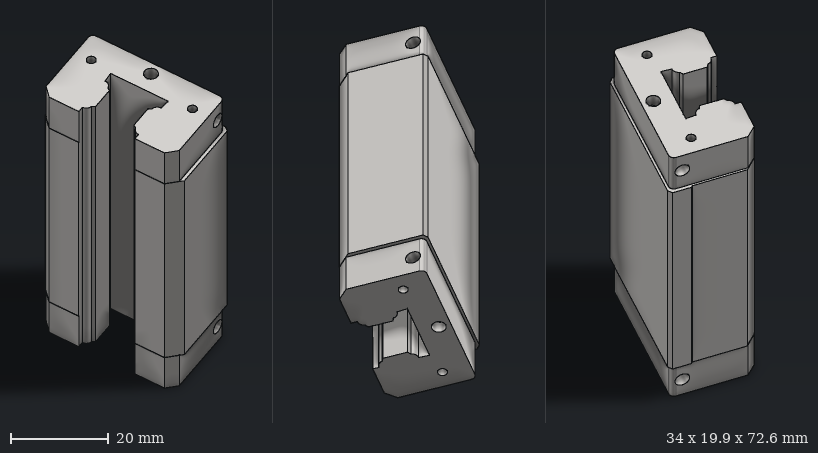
import cadquery as cq
import math


TOTAL_LENGTH = 72.6
CAP_LENGTH = 9.5
BODY_LENGTH = TOTAL_LENGTH - 2 * CAP_LENGTH

BODY_WIDTH = 34.0
BODY_HEIGHT = 19.9
BODY_FOOT_WIDTH = 28.1
BODY_TOP_CHAMFER_X = 0.9
BODY_TOP_CHAMFER_Y = 0.75
BODY_LOWER_CHAMFER = (BODY_WIDTH - BODY_FOOT_WIDTH) / 2
RELIEF_DEPTH = 0.33
RELIEF_TOP = 15.0
RELIEF_BOTTOM = RELIEF_TOP - RELIEF_DEPTH

CAP_WIDTH = 32.4
CAP_TOP = 19.3
CAP_BOTTOM = 0.05
CAP_HEIGHT = CAP_TOP - CAP_BOTTOM
CAP_LOWER_CHAMFER = 2.2
CAP_CORNER_RADIUS = 1.2

SLOT_HALF_WIDTH = 6.8
SLOT_ROOF_HALF_WIDTH = 6.97
SLOT_ROOF = 12.3
LIP_HALF_GAP = 4.65
LIP_SHOULDER_HALF_GAP = 5.37
LIP_CENTRE_HEIGHT = 5.7
LIP_FLAT_HALF_HEIGHT = 2.65
LIP_SHOULDER_HALF_HEIGHT = 3.1
LIP_HALF_HEIGHT = 4.28
LIP_ROUND_RADIUS = 1.46

FEED_DIAMETER = 3.2
FEED_HEIGHT = 16.7
FEED_FROM_END = 4.5
END_FEED_DIAMETER = 3.0
SCREW_DIAMETER = 2.0
SCREW_HALF_SPACING = 12.3
SCREW_HEIGHT = 13.25
SCREW_DEPTH = 4.0
DRILL_POINT_ANGLE = 118.0

CUT_MARGIN = 1.0


def prism(sketch, length):
    """Extrude a closed outline along the rail, starting at Z = 0."""
    return sketch.close().extrude(length)


def rail_slot(length):
    """Solid with the shape of the rail slot, to be cut from a body or cap."""
    centre = LIP_CENTRE_HEIGHT
    right = (
        cq.Workplane("XY")
        .moveTo(0, -CUT_MARGIN)
        .lineTo(SLOT_HALF_WIDTH, -CUT_MARGIN)
        .lineTo(SLOT_HALF_WIDTH, centre - LIP_HALF_HEIGHT)
        .radiusArc((LIP_SHOULDER_HALF_GAP, centre - LIP_SHOULDER_HALF_HEIGHT), LIP_ROUND_RADIUS)
        .lineTo(LIP_HALF_GAP, centre - LIP_FLAT_HALF_HEIGHT)
        .lineTo(LIP_HALF_GAP, centre + LIP_FLAT_HALF_HEIGHT)
        .lineTo(LIP_SHOULDER_HALF_GAP, centre + LIP_SHOULDER_HALF_HEIGHT)
        .radiusArc((SLOT_HALF_WIDTH, centre + LIP_HALF_HEIGHT), LIP_ROUND_RADIUS)
        .lineTo(SLOT_ROOF_HALF_WIDTH, SLOT_ROOF)
        .lineTo(0, SLOT_ROOF)
    )
    right = prism(right, length)
    return right.union(right.mirror("YZ"))


def steel_body():
    """Body prism, with the sloped step of the relief on its -X side."""
    half = BODY_WIDTH / 2
    foot = BODY_FOOT_WIDTH / 2
    relief_x = half - RELIEF_DEPTH
    shoulder = BODY_HEIGHT - BODY_TOP_CHAMFER_Y
    outline = (
        cq.Workplane("XY")
        .moveTo(-foot, 0)
        .lineTo(foot, 0)
        .lineTo(half, BODY_LOWER_CHAMFER)
        .lineTo(half, shoulder)
        .lineTo(half - BODY_TOP_CHAMFER_X, BODY_HEIGHT)
        .lineTo(BODY_TOP_CHAMFER_X - half, BODY_HEIGHT)
        .lineTo(-half, shoulder)
        .lineTo(-half, RELIEF_TOP)
        .lineTo(-relief_x, RELIEF_BOTTOM)
        .lineTo(-relief_x, BODY_LOWER_CHAMFER - RELIEF_DEPTH)
    )
    body = prism(outline, BODY_LENGTH).cut(rail_slot(BODY_LENGTH))
    return body.translate((0, 0, -BODY_LENGTH / 2))


def screw_hole(x):
    """Blind hole with a drill point, drilled from the outer cap face."""
    radius = SCREW_DIAMETER / 2
    point = radius / math.tan(math.radians(DRILL_POINT_ANGLE / 2))
    profile = (
        cq.Workplane("XZ")
        .moveTo(0, CAP_LENGTH)
        .lineTo(radius, CAP_LENGTH)
        .lineTo(radius, CAP_LENGTH - SCREW_DEPTH)
        .lineTo(0, CAP_LENGTH - SCREW_DEPTH - point)
        .close()
    )
    return profile.revolve(360, (0, 0), (0, 1)).translate((x, SCREW_HEIGHT, 0))


def end_cap():
    """Cap with its inner face at Z = 0 and its outer face towards +Z."""
    feed_z = CAP_LENGTH - FEED_FROM_END
    cap = (
        cq.Workplane("XY")
        .rect(CAP_WIDTH, CAP_HEIGHT)
        .extrude(CAP_LENGTH)
        .translate((0, CAP_BOTTOM + CAP_HEIGHT / 2, 0))
    )
    cap = cap.edges("|Z and >Y").fillet(CAP_CORNER_RADIUS)
    cap = cap.edges("|Z and <Y").chamfer(CAP_LOWER_CHAMFER)
    cap = cap.cut(rail_slot(CAP_LENGTH))

    cross_hole = (
        cq.Workplane("YZ", origin=(-CAP_WIDTH / 2, 0, 0))
        .center(FEED_HEIGHT, feed_z)
        .circle(FEED_DIAMETER / 2)
        .extrude(CAP_WIDTH)
    )
    end_hole = (
        cq.Workplane("XY", origin=(0, FEED_HEIGHT, feed_z))
        .circle(END_FEED_DIAMETER / 2)
        .extrude(FEED_FROM_END)
    )
    cap = cap.cut(cross_hole).cut(end_hole)
    for side in (-1, 1):
        cap = cap.cut(screw_hole(side * SCREW_HALF_SPACING))
    return cap


upper_cap = end_cap().translate((0, 0, BODY_LENGTH / 2))
lower_cap = upper_cap.mirror("XY")
result = steel_body().union(upper_cap).union(lower_cap)